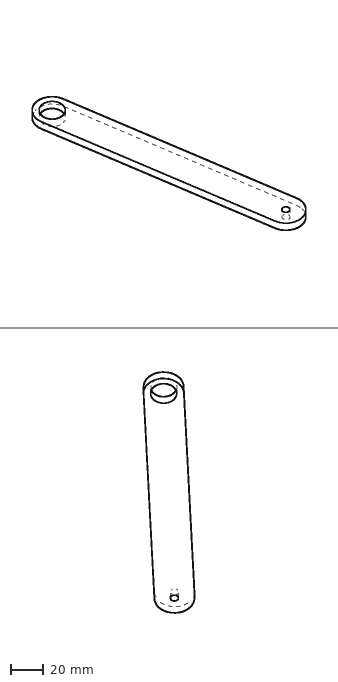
import cadquery as cq
import math

overall_x = 182.8
overall_y = 88.3
thickness = 6.0
end_radius = 12.5
large_hole_diameter = 16.0
small_hole_diameter = 5.0

span_x = overall_x - 2 * end_radius
span_y = overall_y - 2 * end_radius
center_distance = math.hypot(span_x, span_y)
tilt_angle = math.degrees(math.atan2(span_y, span_x))


def link_plate():
    """Flat bar with full-round ends, tilted about the large hole's axis."""
    bar = (
        cq.Workplane("XY")
        .center(center_distance / 2, 0)
        .slot2D(center_distance + 2 * end_radius, 2 * end_radius)
        .extrude(thickness)
    )
    return bar.rotate((0, 0, 0), (0, 0, 1), tilt_angle)


def through_hole(x, y, diameter):
    """Cutter for a round hole through the full thickness."""
    return cq.Workplane("XY").center(x, y).circle(diameter / 2).extrude(thickness)


result = (
    link_plate()
    .cut(through_hole(0, 0, large_hole_diameter))
    .cut(through_hole(span_x, span_y, small_hole_diameter))
)